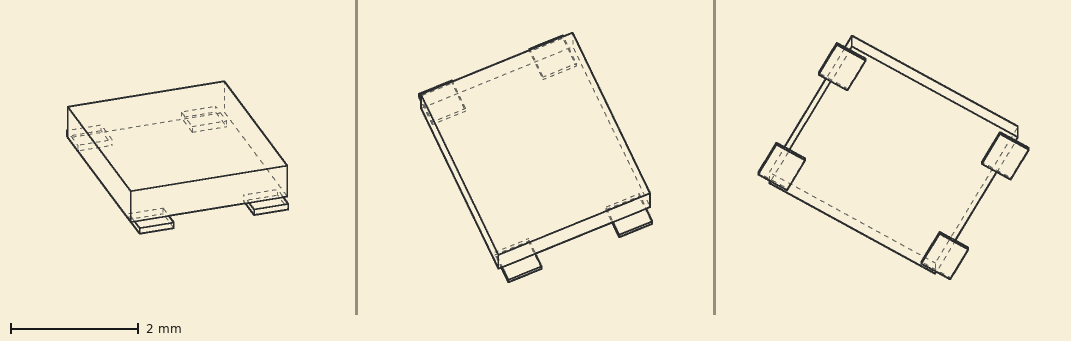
import cadquery as cq

overall_length = 3.47
overall_height = 0.65

housing_length = 2.998
housing_width = 2.6

terminal_length = 0.52
terminal_width = 0.57
terminal_thickness = 0.1
terminal_pitch = 1.898

housing_height = overall_height - terminal_thickness
terminal_center_x = (overall_length - terminal_length) / 2
terminal_center_y = terminal_pitch / 2


def block(length, width, height, x, y, bottom_z):
    """Box centred on (x, y) that rises from bottom_z."""
    return (
        cq.Workplane("XY")
        .box(length, width, height, centered=(True, True, False))
        .translate((x, y, bottom_z))
    )


def make_housing():
    """Block whose underside lies on the top faces of the terminals."""
    return block(housing_length, housing_width, housing_height, 0, 0, terminal_thickness)


def make_terminal(x, y):
    """Flat pad that reaches from under the housing out past its end face."""
    return block(terminal_length, terminal_width, terminal_thickness, x, y, 0)


housing = make_housing()

terminals = []
for side_x in (-1, 1):
    for side_y in (-1, 1):
        terminal = make_terminal(side_x * terminal_center_x, side_y * terminal_center_y)
        terminals.append(terminal.val())

result = cq.Compound.makeCompound([housing.val(), *terminals])